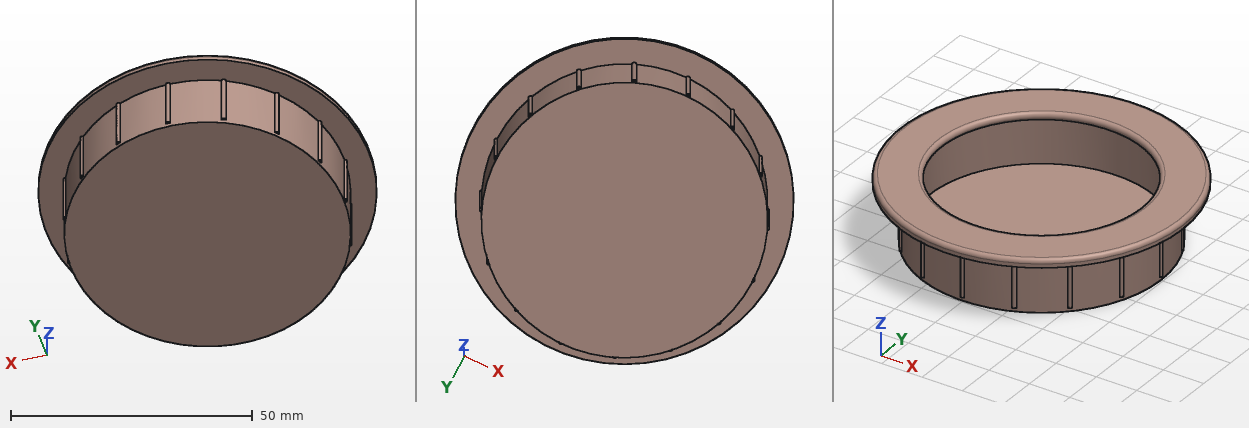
import cadquery as cq

total_height = 16.0
flange_radius = 35.0
flange_thickness = 2.0
flange_bottom = total_height - flange_thickness

rim_round = 1.0
mouth_radius = 24.5
bead_radius = flange_thickness / 2
bead_center_radius = mouth_radius + bead_radius
bead_center_height = flange_bottom + bead_radius

cup_outer_radius = 29.6
cup_wall = 2.0
cup_floor = 2.0
cup_inner_radius = cup_outer_radius - cup_wall

rib_count = 16
rib_width = 1.0
rib_tip_radius = 30.0
rib_bottom = 1.0


def disc(radius, bottom, top):
    """Solid round disc about Z between two heights."""
    return cq.Workplane("XY").workplane(offset=bottom).circle(radius).extrude(top - bottom)


def make_flange():
    """Flat ring with a rounded outer top edge and a fully rounded opening."""
    ring_profile = (
        cq.Workplane("XZ")
        .moveTo(bead_center_radius, flange_bottom)
        .lineTo(flange_radius, flange_bottom)
        .lineTo(flange_radius, total_height - rim_round)
        .tangentArcPoint((flange_radius - rim_round, total_height), relative=False)
        .lineTo(bead_center_radius, total_height)
        .threePointArc((mouth_radius, bead_center_height), (bead_center_radius, flange_bottom))
        .close()
    )
    return ring_profile.revolve(360, (0, 0, 0), (0, 1, 0))


def make_rib(angle):
    """One upright grip rib with a round crest, at the given angle about Z."""
    crest_radius = rib_width / 2
    rib = disc(crest_radius, rib_bottom, flange_bottom)
    rib = rib.translate((rib_tip_radius - crest_radius, 0, 0))
    return rib.rotate((0, 0, 0), (0, 0, 1), angle)


def make_cup():
    """Round cup with a flat floor and evenly spaced ribs on its outside."""
    cup = disc(cup_outer_radius, 0, flange_bottom)
    for index in range(rib_count):
        cup = cup.union(make_rib(index * 360 / rib_count))
    return cup.cut(disc(cup_inner_radius, cup_floor, flange_bottom))


flange = make_flange()
cup = make_cup()

result = cq.Compound.makeCompound([flange.val(), cup.val()])